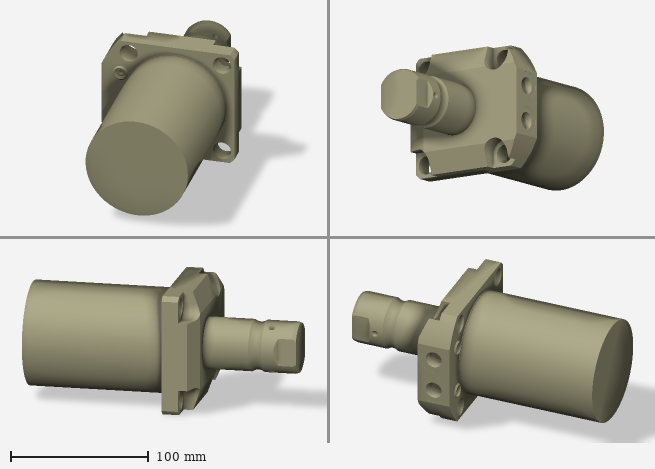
import cadquery as cq
import math


total_length = 198.4
flange_thickness = 25.0
rod_length = 68.5
barrel_length = total_length - flange_thickness - rod_length
rod_end_y = flange_thickness + rod_length

barrel_radius = 38.5
collar_radius = 38.9
collar_height = 0.8

flange_half_width = 44.5
flange_port_side = 55.5
flange_corner_radius = 60.5
bevel_start = 28.4
bevel_depth = 6.0

mount_offset = 35.1
mount_hole_diameter = 13.5
head_pocket_diameter = 19.8
head_pocket_depth = 12.7

port_spacing = 25.8
port_y = flange_thickness / 2
port_diameter = 10.3
port_mouth_diameter = 12.5
port_taper_diameter = 11.1
port_taper_depth = 3.4
port_step_depth = 0.4
port_depth = 10.0
port_face_diameter = 21.0
port_face_depth = 0.2

rod_radius = 19.0
rod_tip_chamfer_length = 2.5
rod_tip_chamfer_radial = 0.8
groove_start = 25.2
groove_width = 9.5
groove_depth = 1.5
flat_offset = 16.0
flat_length = 13.0
dimple_radius = 2.5
dimple_position = 19.2
dimple_angles = (60, 180, 300)

plug_x = -41.3
plug_z = 18.0
plug_radius = 5.8
plug_rim_radius = 4.5
plug_protrusion = 1.2
plug_seat_depth = 5.0
plug_recess_floor_radius = 3.4
plug_recess_depth = 2.4
plug_bore_radius = 1.2
plug_bore_mouth_radius = 2.0
plug_bore_depth = 2.0


def cylinder_y(radius, y_start, y_end, x=0, z=0):
    """Cylinder parallel to Y between two Y positions."""
    return cq.Workplane(
        cq.Solid.makeCylinder(radius, y_end - y_start, cq.Vector(x, y_start, z), cq.Vector(0, 1, 0))
    )


def block(x_range, y_range, z_range):
    """Axis-aligned block given by its limits."""
    size = [high - low for low, high in (x_range, y_range, z_range)]
    corner = cq.Vector(x_range[0], y_range[0], z_range[0])
    return cq.Workplane(cq.Solid.makeBox(*size, corner))


def bevel_wedge():
    """Material removed by the rear bevel along the +Z side of the flange."""
    length = 2 * flange_corner_radius
    return (
        cq.Workplane("YZ")
        .moveTo(flange_thickness, bevel_start)
        .lineTo(flange_thickness, flange_half_width)
        .lineTo(flange_thickness - bevel_depth, flange_half_width)
        .close()
        .extrude(length / 2, both=True)
    )


def make_flange():
    plate = block(
        (-flange_port_side, flange_half_width),
        (0, flange_thickness),
        (-flange_half_width, flange_half_width),
    )
    plate = plate.intersect(cylinder_y(flange_corner_radius, 0, flange_thickness))
    for angle in (0, 90, 180):
        plate = plate.cut(bevel_wedge().rotate((0, 0, 0), (0, 1, 0), angle))
    return plate


def make_barrel():
    """Revolved barrel with a thin collar against the flange."""
    return (
        cq.Workplane("ZY")
        .moveTo(0, 0)
        .lineTo(collar_radius, 0)
        .lineTo(collar_radius, -collar_height)
        .lineTo(barrel_radius, -collar_height)
        .lineTo(barrel_radius, -barrel_length)
        .lineTo(0, -barrel_length)
        .close()
        .revolve(360, (0, 0, 0), (0, 1, 0))
    )


def make_rod():
    """Revolved rod with a tapered tip and an arc-shaped groove, then flats and dimples."""
    groove_y = rod_end_y - groove_start
    rod = (
        cq.Workplane("ZY")
        .moveTo(0, flange_thickness)
        .lineTo(rod_radius, flange_thickness)
        .lineTo(rod_radius, groove_y - groove_width)
        .threePointArc((rod_radius - groove_depth, groove_y - groove_width / 2), (rod_radius, groove_y))
        .lineTo(rod_radius, rod_end_y - rod_tip_chamfer_length)
        .lineTo(rod_radius - rod_tip_chamfer_radial, rod_end_y)
        .lineTo(0, rod_end_y)
        .close()
        .revolve(360, (0, 0, 0), (0, 1, 0))
    )
    for side in (1, -1):
        rod = rod.cut(wrench_flat(side))
    for angle in dimple_angles:
        rod = rod.cut(rod_dimple(angle))
    return rod


def wrench_flat(side):
    """Cut for the flat on the +X (side = 1) or -X (side = -1) side, run out at 45 degrees."""
    flat_end_y = rod_end_y - flat_length
    runout = rod_radius - flat_offset
    return (
        cq.Workplane("XY")
        .moveTo(side * flat_offset, rod_end_y)
        .lineTo(side * flat_offset, flat_end_y)
        .lineTo(side * rod_radius, flat_end_y - runout)
        .lineTo(side * rod_radius, rod_end_y)
        .close()
        .extrude(rod_radius, both=True)
    )


def rod_dimple(angle):
    """90-degree conical dimple at an angle measured from +X towards +Z."""
    outward = cq.Vector(math.cos(math.radians(angle)), 0, math.sin(math.radians(angle)))
    mouth = outward * rod_radius + cq.Vector(0, rod_end_y - dimple_position, 0)
    return cq.Workplane(cq.Solid.makeCone(dimple_radius, 0, dimple_radius, mouth, outward * -1))


def head_pocket(side_x, side_z):
    """Screw-head pocket: round around the hole and open to the nearest outer edges."""
    y_range = (flange_thickness - head_pocket_depth, flange_thickness)
    radius = head_pocket_diameter / 2
    x = side_x * mount_offset
    z = side_z * mount_offset
    z_range = sorted((z, side_z * flange_corner_radius))
    pocket = cylinder_y(radius, *y_range, x, z)
    pocket = pocket.union(block((x - radius, x + radius), y_range, z_range))
    if side_x > 0:
        pocket = pocket.union(block((x, flange_corner_radius), y_range, (z - radius, z + radius)))
    return pocket


def port(z):
    """Cutter for a flat-bottomed port with a tapered mouth in a shallow round sealing face."""
    face_x = -flange_port_side
    mouth_x = face_x + port_face_depth
    inward = cq.Vector(1, 0, 0)
    sealing_face = cq.Solid.makeCylinder(
        port_face_diameter / 2, port_face_depth, cq.Vector(face_x, port_y, z), inward
    )
    bore = cq.Solid.makeCylinder(port_diameter / 2, port_depth, cq.Vector(mouth_x, port_y, z), inward)
    taper = cq.Solid.makeCone(
        port_mouth_diameter / 2,
        port_taper_diameter / 2,
        port_taper_depth,
        cq.Vector(mouth_x, port_y, z),
        inward,
    )
    step = cq.Solid.makeCone(
        port_taper_diameter / 2,
        port_diameter / 2,
        port_step_depth,
        cq.Vector(mouth_x + port_taper_depth, port_y, z),
        inward,
    )
    cutter = cq.Workplane(sealing_face)
    for section in (bore, taper, step):
        cutter = cutter.union(cq.Workplane(section))
    return cutter


def make_housing():
    housing = make_flange().union(make_barrel()).union(make_rod())
    for side_x in (1, -1):
        for side_z in (1, -1):
            hole = cylinder_y(
                mount_hole_diameter / 2, 0, flange_thickness, side_x * mount_offset, side_z * mount_offset
            )
            housing = housing.cut(hole).cut(head_pocket(side_x, side_z))
    for side_z in (1, -1):
        housing = housing.cut(port(side_z * port_spacing / 2))
        plug_seat = cylinder_y(plug_radius, 0, plug_seat_depth, plug_x, side_z * plug_z)
        housing = housing.cut(plug_seat)
    return housing


def make_plug(z):
    """Plug with a tapered rim, a conical recess and a small chamfered centre bore."""
    recess_floor_y = plug_recess_depth - plug_protrusion
    bore_chamfer = plug_bore_mouth_radius - plug_bore_radius
    bore_end_y = recess_floor_y + plug_bore_depth
    return (
        cq.Workplane("ZY")
        .moveTo(0, plug_seat_depth)
        .lineTo(plug_radius, plug_seat_depth)
        .lineTo(plug_radius, 0)
        .lineTo(plug_rim_radius, -plug_protrusion)
        .lineTo(plug_recess_floor_radius, recess_floor_y)
        .lineTo(plug_bore_mouth_radius, recess_floor_y)
        .lineTo(plug_bore_radius, recess_floor_y + bore_chamfer)
        .lineTo(plug_bore_radius, bore_end_y)
        .lineTo(0, bore_end_y)
        .close()
        .revolve(360, (0, 0, 0), (0, 1, 0))
        .translate((plug_x, 0, z))
    )


housing = make_housing()
plugs = [make_plug(side_z * plug_z) for side_z in (1, -1)]

result = cq.Compound.makeCompound([housing.val(), *[plug.val() for plug in plugs]])